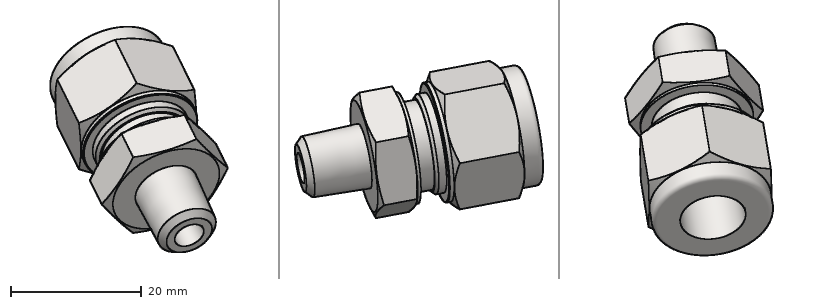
import cadquery as cq
import math

nut_start = 3.12
nut_end = 14.3
skirt_end = 15.1
shoulder_end = 16.3
shoulder_bevel_end = 16.82
washer_start = 19.35
body_hex_start = 19.87
body_hex_end = 26.2
pipe_bevel_start = 35.2
length = 36.25

collar_diameter = 18.85
shoulder_diameter = 15.75
neck_diameter = 14.15
washer_diameter = 17.5
pipe_root_diameter = 10.15
pipe_taper = 1 / 16
pipe_bevel_angle = 45.0
collar_round = 0.8
skirt_edge_step = 0.15

nut_corners = 21.95
body_corners = 20.78
nut_bevel_angle = 30.0
body_bevel_angle = 20.0

socket_diameter = 10.15
socket_depth = 14.85
bore_diameter = 4.8


def cylinder(diameter, start, end):
    return cq.Workplane("YZ", origin=(start, 0, 0)).circle(diameter / 2).extrude(end - start)


def revolve_profile(points):
    """Turn a closed (x, radius) outline about the X axis."""
    return cq.Workplane("XY").polyline(points).close().revolve(360, (0, 0, 0), (1, 0, 0))


def beveled_hex(corners, face_diameter, start, end, corner_angle, bevel_angle):
    """Hexagon along X whose corners are cut by a cone at both ends."""
    prism = (
        cq.Workplane("YZ", origin=(start, 0, 0))
        .transformed(rotate=(0, 0, corner_angle))
        .polygon(6, corners)
        .extrude(end - start)
    )
    outer = corners / 2
    inner = face_diameter / 2
    bevel = (outer - inner) * math.tan(math.radians(bevel_angle))
    envelope = revolve_profile([
        (start, 0),
        (start, inner),
        (start + bevel, outer),
        (end - bevel, outer),
        (end, inner),
        (end, 0),
    ])
    return prism.intersect(envelope)


collar = cylinder(collar_diameter, 0, nut_end).faces("<X").edges().fillet(collar_round)
nut = beveled_hex(nut_corners, collar_diameter, nut_start, nut_end, 90, nut_bevel_angle)
skirt = cylinder(collar_diameter, nut_end, skirt_end).faces(">X").edges().chamfer(skirt_edge_step)

shoulder_bevel = shoulder_bevel_end - shoulder_end
shoulder = cylinder(shoulder_diameter, nut_end, shoulder_bevel_end)
shoulder = shoulder.faces(">X").edges().chamfer(shoulder_bevel)
neck = cylinder(neck_diameter, nut_end, body_hex_start)
washer = cylinder(washer_diameter, washer_start, body_hex_start)
body_hex = beveled_hex(body_corners, washer_diameter, body_hex_start, body_hex_end, 0, body_bevel_angle)

pipe_bevel = length - pipe_bevel_start
pipe_end_radius = pipe_root_diameter / 2 - pipe_taper / 2 * (pipe_bevel_start - body_hex_end)
tip_radius = pipe_end_radius - pipe_bevel * math.tan(math.radians(pipe_bevel_angle))
pipe = revolve_profile([
    (body_hex_end, 0),
    (body_hex_end, pipe_root_diameter / 2),
    (pipe_bevel_start, pipe_end_radius),
    (length, tip_radius),
    (length, 0),
])

socket = cylinder(socket_diameter, 0, socket_depth)
bore = cylinder(bore_diameter, 0, length)

result = collar
for section in (nut, skirt, shoulder, neck, washer, body_hex, pipe):
    result = result.union(section)
result = result.cut(socket).cut(bore)